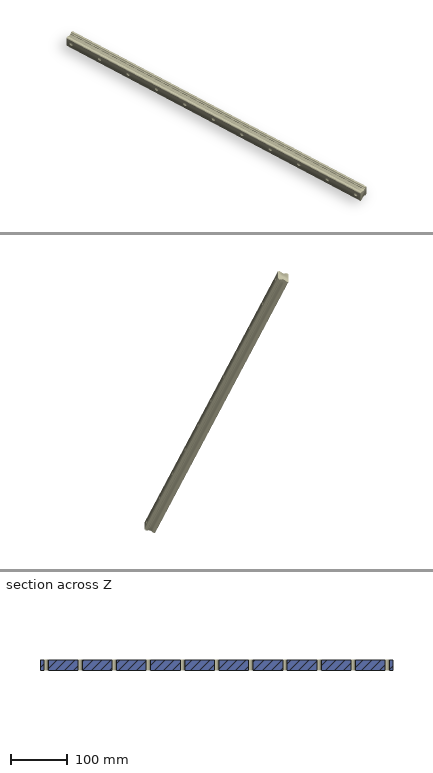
import cadquery as cq
import math

RAIL_LENGTH = 620.0
RAIL_HEIGHT = 20.0
RAIL_WIDTH = 23.0

BASE_CHAMFER = 1.1
BASE_TOP = 4.8
WAIST_WIDTH = 17.0
WAIST_TOP = 12.8
HEAD_START = 15.5

LOWER_GROOVE_RADIUS = 2.2
LOWER_GROOVE_DEPTH = 1.8
UPPER_GROOVE_RADIUS = 2.5
UPPER_GROOVE_SIZE = 2.0
EDGE_BREAK = 0.2

HOLE_DIAMETER = 7.0
HOLE_PITCH = 60.0
HOLE_COUNT = 11


def point_on_arc(start, end, radius):
    """Middle point of a minor arc that bulges to the left of the line from start to end."""
    dy = end[0] - start[0]
    dz = end[1] - start[1]
    chord = math.hypot(dy, dz)
    bulge = radius - math.sqrt(radius**2 - (chord / 2) ** 2)
    return (
        (start[0] + end[0]) / 2 - bulge * dz / chord,
        (start[1] + end[1]) / 2 + bulge * dy / chord,
    )


def make_half():
    """The +Z half of the rail, with its flat side on the mid-plane."""
    base = -RAIL_HEIGHT / 2
    top = RAIL_HEIGHT / 2
    side = RAIL_WIDTH / 2
    waist = WAIST_WIDTH / 2
    shoulder_rise = side - waist

    lower_inner = (base + WAIST_TOP, side - LOWER_GROOVE_DEPTH)
    lower_outer = (base + HEAD_START, side - EDGE_BREAK)
    upper_side = (top - UPPER_GROOVE_SIZE, side - EDGE_BREAK)
    upper_top = (top - EDGE_BREAK, side - UPPER_GROOVE_SIZE)

    lower_middle = point_on_arc(lower_outer, lower_inner, LOWER_GROOVE_RADIUS)
    upper_middle = point_on_arc(upper_top, upper_side, UPPER_GROOVE_RADIUS)

    return (
        cq.Workplane("YZ")
        .moveTo(base, 0)
        .lineTo(base, side - BASE_CHAMFER)
        .lineTo(base + BASE_CHAMFER, side)
        .lineTo(base + BASE_TOP, side)
        .lineTo(base + BASE_TOP + shoulder_rise, waist)
        .lineTo(base + WAIST_TOP, waist)
        .lineTo(*lower_inner)
        .threePointArc(lower_middle, lower_outer)
        .lineTo(lower_outer[0] + EDGE_BREAK, side)
        .lineTo(upper_side[0] - EDGE_BREAK, side)
        .lineTo(*upper_side)
        .threePointArc(upper_middle, upper_top)
        .lineTo(top, upper_top[1] - EDGE_BREAK)
        .lineTo(top, 0)
        .close()
        .extrude(RAIL_LENGTH / 2, both=True)
    )


def make_rail():
    half = make_half()
    return half.union(half.mirror("XY")).clean()


def make_holes():
    """One row of holes through the height of the rail, centred along its length."""
    return (
        cq.Workplane("XZ")
        .rarray(HOLE_PITCH, 1, HOLE_COUNT, 1)
        .circle(HOLE_DIAMETER / 2)
        .extrude(RAIL_HEIGHT, both=True)
    )


result = make_rail().cut(make_holes())